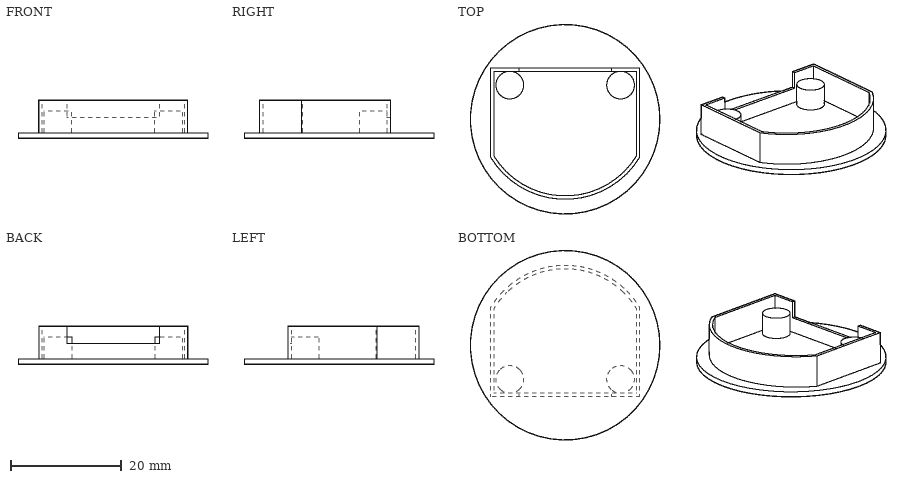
import cadquery as cq
import math

plate_diameter = 34.25
plate_thickness = 1.0

wall_width = 26.9
wall_height = 5.9
wall_thickness = 0.6
wall_back_y = 9.28
wall_front_y = -14.45
side_end_y = -6.85

notch_width = 16.7
sill_height = 2.8

post_diameter = 5.0
post_height = 3.95
post_spacing = 20.0

arc_rise = side_end_y - wall_front_y
arc_radius = ((wall_width / 2) ** 2 + arc_rise ** 2) / (2 * arc_rise)
arc_center_y = wall_front_y + arc_radius


def d_prism(inset):
    """D-shaped block of wall height, its outline moved inward by inset."""
    half_width = wall_width / 2 - inset
    back_y = wall_back_y - inset
    radius = arc_radius - inset
    corner_y = arc_center_y - math.sqrt(radius ** 2 - half_width ** 2)
    return (
        cq.Workplane("XY", origin=(0, 0, plate_thickness))
        .moveTo(half_width, corner_y)
        .lineTo(half_width, back_y)
        .lineTo(-half_width, back_y)
        .lineTo(-half_width, corner_y)
        .threePointArc((0, arc_center_y - radius), (half_width, corner_y))
        .close()
        .extrude(wall_height)
    )


def make_plate():
    return cq.Workplane("XY").circle(plate_diameter / 2).extrude(plate_thickness)


def make_wall():
    ring = d_prism(0).cut(d_prism(wall_thickness))
    notch = (
        cq.Workplane("XY", origin=(0, 0, plate_thickness + sill_height))
        .center(0, wall_back_y - wall_thickness / 2)
        .rect(notch_width, wall_thickness)
        .extrude(wall_height - sill_height)
    )
    return ring.cut(notch)


def make_post(x):
    post_y = wall_back_y - wall_thickness - post_diameter / 2
    return (
        cq.Workplane("XY", origin=(x, post_y, plate_thickness))
        .circle(post_diameter / 2)
        .extrude(post_height)
    )


plate = make_plate()
wall = make_wall()
posts = [make_post(side * post_spacing / 2) for side in (-1, 1)]

result = cq.Compound.makeCompound([plate.val(), wall.val(), *[post.val() for post in posts]])